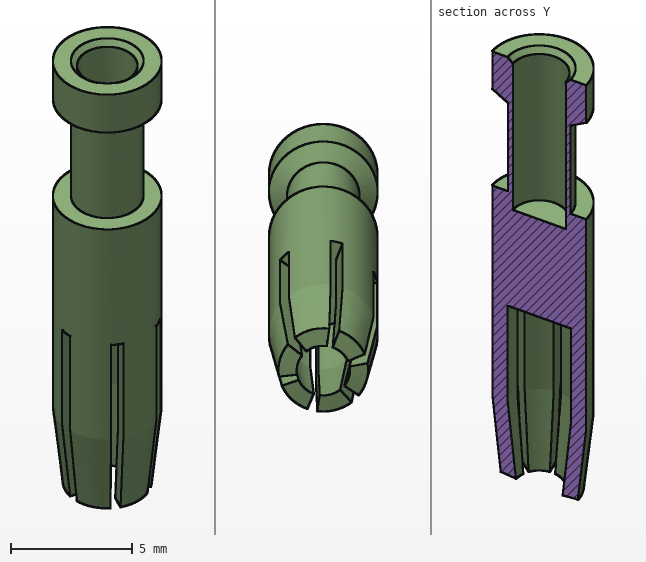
import cadquery as cq
import math

length = 22.2
taper_height = 4.0
slot_height = 9.0
shoulder_height = 15.1
collar_height = 2.0
collar_cone_height = 0.45

body_radius = 4.5 / 2
neck_radius = 3.0 / 2
tip_radius = 3.7 / 2

wire_hole_radius = 2.5 / 2
wire_hole_depth = 8.0
wire_hole_chamfer = 0.25

finger_wall = 0.75
socket_radius = body_radius - finger_wall
socket_tip_radius = tip_radius - finger_wall
socket_depth = slot_height

tip_rise = finger_wall * (body_radius - tip_radius) / taper_height

slot_count = 6
slot_pitch = 360 / slot_count
first_slot_angle = slot_pitch / 2
slot_angle = 13


def revolve_outline(points):
    """Turn an (r, z) outline around the Z axis."""
    return cq.Workplane("XZ").polyline(points).close().revolve(360, (0, 0), (0, 1))


def make_outside():
    collar_base = length - collar_height
    return revolve_outline([
        (0, 0),
        (socket_tip_radius, 0),
        (tip_radius, tip_rise),
        (body_radius, taper_height),
        (body_radius, shoulder_height),
        (neck_radius, shoulder_height),
        (neck_radius, collar_base - collar_cone_height),
        (body_radius, collar_base),
        (body_radius, length),
        (0, length),
    ])


def make_wire_hole():
    hole_floor = length - wire_hole_depth
    return revolve_outline([
        (0, hole_floor),
        (wire_hole_radius, hole_floor),
        (wire_hole_radius, length - wire_hole_chamfer),
        (wire_hole_radius + wire_hole_chamfer, length),
        (0, length),
    ])


def make_socket():
    return revolve_outline([
        (0, 0),
        (socket_tip_radius, 0),
        (socket_radius, taper_height),
        (socket_radius, socket_depth),
        (0, socket_depth),
    ])


def make_slot(angle):
    """Wedge between two radial planes, so the slot narrows with the radius."""
    reach = 2 * body_radius
    half_width = reach * math.tan(math.radians(slot_angle / 2))
    return (
        cq.Workplane("XY")
        .polyline([(0, 0), (reach, -half_width), (reach, half_width)])
        .close()
        .extrude(slot_height)
        .rotate((0, 0, 0), (0, 0, 1), angle)
    )


result = make_outside().cut(make_wire_hole()).cut(make_socket())
for index in range(slot_count):
    result = result.cut(make_slot(first_slot_angle + index * slot_pitch))